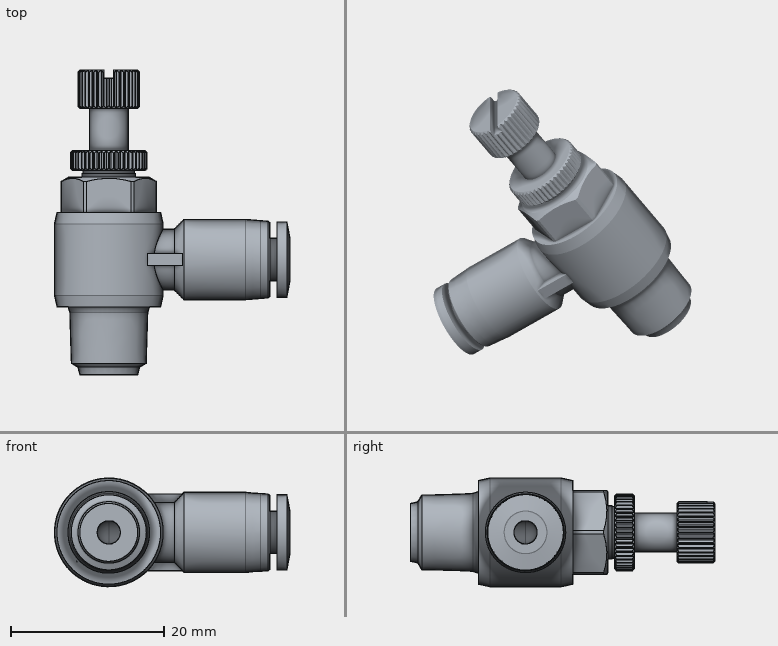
import cadquery as cq
import math


overall_x = 30.75
overall_y = 39.8
overall_z = 14.2

thread_end_y = -15.05
nose_top_y = -14.05
thread_bottom_y = -13.55
thread_top_y = -6.9
body_half_length = 6.15
body_straight_half_length = 4.65
hex_top_y = 10.75
collar_top_y = 11.25
nut_bottom_y = 11.62
nut_top_y = 14.2
knob_bottom_y = 19.75
knob_top_y = thread_end_y + overall_y

nose_end_radius = 3.8
nose_top_radius = 4.0
thread_bottom_radius = 4.9
thread_top_radius = 5.1
undercut_radius = 5.35
body_radius = overall_z / 2
body_end_radius = 6.75
collar_radius = 3.5
nut_seat_radius = 3.4
stem_radius = 2.55

hex_across_flats = 11.0
hex_corner_radius = 6.2
hex_top_radius = 5.25
hex_chamfer_angle = 30

nut_radius = 5.0
nut_teeth = 48
knob_radius = 4.0
knob_teeth = 36
knurl_depth = 0.25
knurl_land_share = 0.2
knurl_chamfer = 0.28
slot_width = 1.2
slot_depth = 1.07

neck_end_x = 8.55
sleeve_start_x = 9.85
sleeve_taper_x = 17.85
sleeve_band_x = 19.8
sleeve_end_x = 21.0
release_collar_x = 21.93
release_rim_x = 23.25
branch_end_x = overall_x - body_radius
neck_radius = 3.98
sleeve_radius = 5.25
sleeve_band_radius = 5.1
sleeve_end_radius = 5.0
sleeve_chamfer = 0.2
release_stem_radius = 2.8
release_radius = 4.95
release_end_radius = 2.8

rib_width = 1.6
rib_half_height = 5.0

passage_radius = 1.5


def turned_about_y(profile):
    """Solid of revolution about Y from (radius, y) points; the ends close on the axis."""
    points = [(0, profile[0][1])] + profile + [(0, profile[-1][1])]
    return cq.Workplane("XY").polyline(points).close().revolve(360, (0, 0), (0, 1))


def cylinder_y(radius, start_y, end_y):
    return turned_about_y([(radius, start_y), (radius, end_y)])


def knurled_cylinder(radius, teeth, start_y, end_y):
    """Cylinder along Y with straight V-grooves and chamfered ends."""
    pitch = 2 * math.pi / teeth
    root_radius = radius - knurl_depth
    half_land = pitch * knurl_land_share / 2
    outline = []
    for tooth in range(teeth):
        middle = tooth * pitch
        for distance, angle in (
            (radius, middle - half_land),
            (radius, middle + half_land),
            (root_radius, middle + pitch / 2),
        ):
            outline.append((distance * math.cos(angle), distance * math.sin(angle)))
    toothed = cq.Workplane("XZ", origin=(0, start_y, 0)).polyline(outline).close().extrude(start_y - end_y)
    envelope = cylinder_y(radius, start_y, end_y).edges().chamfer(knurl_chamfer)
    return toothed.intersect(envelope)


def make_body_and_thread():
    return turned_about_y([
        (nose_end_radius, thread_end_y),
        (nose_top_radius, nose_top_y),
        (thread_bottom_radius, thread_bottom_y),
        (thread_top_radius, thread_top_y),
        (undercut_radius, -body_half_length),
        (body_end_radius, -body_half_length),
        (body_radius, -body_straight_half_length),
        (body_radius, body_straight_half_length),
        (body_end_radius, body_half_length),
    ])


def make_hexagon():
    """Hexagon with flats toward +Z and -Z, trimmed corners and a chamfered top."""
    hex_length = hex_top_y - body_half_length
    across_corners = hex_across_flats / math.cos(math.pi / 6)
    prism = (
        cq.Workplane("XZ", origin=(0, body_half_length, 0))
        .polygon(6, across_corners)
        .extrude(-hex_length)
    )
    chamfer_height = (hex_corner_radius - hex_top_radius) * math.tan(math.radians(hex_chamfer_angle))
    envelope = turned_about_y([
        (hex_corner_radius, body_half_length),
        (hex_corner_radius, hex_top_y - chamfer_height),
        (hex_top_radius, hex_top_y),
    ])
    return prism.intersect(envelope)


def make_adjuster():
    """Collar, lock nut, stem and slotted knob."""
    collar = cylinder_y(collar_radius, hex_top_y, collar_top_y)
    nut_seat = cylinder_y(nut_seat_radius, collar_top_y, nut_bottom_y)
    nut = knurled_cylinder(nut_radius, nut_teeth, nut_bottom_y, nut_top_y)
    stem = cylinder_y(stem_radius, nut_top_y, knob_bottom_y)
    knob = knurled_cylinder(knob_radius, knob_teeth, knob_bottom_y, knob_top_y)
    slot = cq.Workplane("XY").box(slot_width, 2 * slot_depth, 2 * knob_radius).translate((0, knob_top_y, 0))
    return collar.union(nut_seat).union(nut).union(stem).union(knob.cut(slot))


def make_branch():
    """Neck, tube sleeve and release collar, turned about X."""
    return (
        cq.Workplane("XY")
        .lineTo(0, neck_radius)
        .lineTo(neck_end_x, neck_radius)
        .lineTo(sleeve_start_x, sleeve_radius)
        .lineTo(sleeve_taper_x, sleeve_radius)
        .lineTo(sleeve_band_x, sleeve_band_radius)
        .lineTo(sleeve_end_x - sleeve_chamfer, sleeve_end_radius)
        .lineTo(sleeve_end_x, sleeve_end_radius - sleeve_chamfer)
        .lineTo(sleeve_end_x, release_stem_radius)
        .lineTo(release_collar_x, release_stem_radius)
        .lineTo(release_collar_x, release_radius)
        .lineTo(release_rim_x, release_radius)
        .lineTo(branch_end_x, release_end_radius)
        .lineTo(branch_end_x, 0)
        .close()
        .revolve(360, (0, 0), (1, 0))
    )


def make_ribs():
    """One plate whose upper and lower edges stand out between the body and the sleeve."""
    cone_rise = (rib_half_height - neck_radius) / (sleeve_radius - neck_radius)
    rib_end_x = neck_end_x + cone_rise * (sleeve_start_x - neck_end_x)
    return cq.Workplane("XY").box(
        rib_end_x, rib_width, 2 * rib_half_height, centered=(False, True, True)
    )


def make_passage():
    """Elbow bore from the threaded end to the tube end, rounded where the axes cross."""
    inlet = cylinder_y(passage_radius, thread_end_y, 0)
    outlet = cq.Workplane("YZ").circle(passage_radius).extrude(branch_end_x)
    corner = cq.Workplane("XY").sphere(passage_radius)
    return inlet.union(outlet).union(corner)


result = (
    make_body_and_thread()
    .union(make_hexagon())
    .union(make_adjuster())
    .union(make_branch())
    .union(make_ribs())
    .cut(make_passage())
)